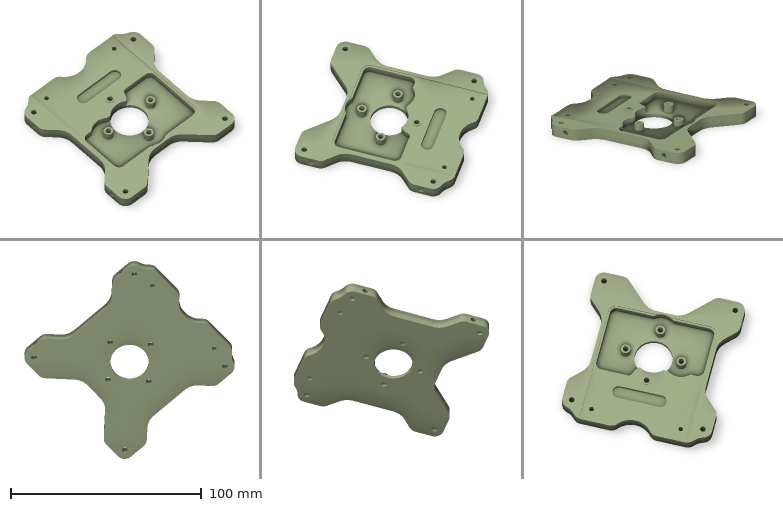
import cadquery as cq
import math

length = 85.4
half_width = 40.4
left_edge = half_width - length
thickness = 6.3

slope_start = 24.4
waist = 31.1
right_notch = 25.1
inner_fillet = 10.25
outer_fillet = 4.95
left_bite_radius = 11.4
left_bite_depth = 6.1
corner_bite_radius = 10.0
corner_bite_x = -49.7
corner_bite_y = 39.9

recess_depth = 0.4
recess_right = 23.1
recess_half_width = 29.1
recess_floor = thickness - recess_depth

pocket_lip = 1.0
pocket_floor = 2.0
pocket_radius = 3.4
pocket_left_back = -14.4
pocket_left_front = -6.15
neck_x = -6.9
land_radius = 2.0
island_radius = 8.5
screw_clearance_radius = 8.9

slot_x = -24.9
slot_y = 1.4
slot_width = 6.7
slot_length = 29.0
slot_depth = 1.5

bore_diameter = 20.0
standoff_distance = 15.0
standoff_diameter = 5.0
screw_diameter = 3.0

corner_hole = 35.4
corner_hole_diameter = 3.0
small_hole_x = -38.0
small_hole_y = 24.1
small_hole_diameter = 2.5
side_hole_x = 30.05
side_hole_diameter = 3.0
side_hole_depth = 10.0

selection_margin = 0.01
overshoot = 0.85


def cylinder(x, y, radius, bottom=0.0):
    """Upright cylinder from the given height to the top of the plate."""
    return cq.Workplane("XY", origin=(x, y, bottom)).circle(radius).extrude(thickness - bottom)


def prism(points, bottom=0.0):
    """Upright prism from the given height to the top of the plate."""
    return cq.Workplane("XY", origin=(0, 0, bottom)).polyline(points).close().extrude(thickness - bottom)


def block(x0, x1, y0, y1, bottom=0.0):
    return prism([(x0, y0), (x1, y0), (x1, y1), (x0, y1)], bottom)


def chord_half_length(radius, distance):
    """Half length of the chord at a distance from the centre of a circle."""
    return math.sqrt(radius**2 - distance**2)


def fillet_upright_edges(body, points, radius):
    """Round the upright edges that stand at the given XY points."""
    edges = []
    for x, y in points:
        low = (x - selection_margin, y - selection_margin, -overshoot)
        high = (x + selection_margin, y + selection_margin, thickness + overshoot)
        edges += body.edges("|Z").edges(cq.selectors.BoxSelector(low, high)).vals()
    return body.newObject(edges).fillet(radius)


def make_plate():
    waist_x = slope_start - (half_width - waist)
    notch_y = slope_start - (half_width - right_notch)
    bite_x = left_edge + left_bite_depth - left_bite_radius

    plate = block(left_edge, half_width, -half_width, half_width)
    plate = plate.cut(cylinder(bite_x, 0, left_bite_radius))
    plate = plate.cut(prism([
        (half_width, slope_start),
        (right_notch, notch_y),
        (right_notch, -notch_y),
        (half_width, -slope_start),
    ]))
    for side in (1, -1):
        plate = plate.cut(prism([
            (-slope_start, side * half_width),
            (-waist_x, side * waist),
            (waist_x, side * waist),
            (slope_start, side * half_width),
        ]))
        plate = plate.cut(cylinder(corner_bite_x, side * corner_bite_y, corner_bite_radius))

    bite_y = chord_half_length(left_bite_radius, left_edge - bite_x)
    corner_y = corner_bite_y - chord_half_length(corner_bite_radius, left_edge - corner_bite_x)
    corner_x = corner_bite_x + chord_half_length(corner_bite_radius, half_width - corner_bite_y)

    inner_corners = [(waist_x, waist), (-waist_x, waist), (right_notch, notch_y)]
    outer_corners = [
        (half_width, slope_start),
        (half_width, half_width),
        (slope_start, half_width),
        (-slope_start, half_width),
        (corner_x, half_width),
        (left_edge, corner_y),
        (left_edge, bite_y),
    ]
    for corners, radius in ((inner_corners, inner_fillet), (outer_corners, outer_fillet)):
        both_sides = corners + [(x, -y) for x, y in corners]
        plate = fillet_upright_edges(plate, both_sides, radius)
    return plate


def make_recess():
    recess = block(left_edge - overshoot, recess_right, -recess_half_width, recess_half_width, recess_floor)
    return recess.edges("|Z and >X").fillet(pocket_radius + pocket_lip)


def make_pocket():
    right = recess_right - pocket_lip
    half = recess_half_width - pocket_lip

    back = block(pocket_left_back, right, 0, half, pocket_floor)
    back = back.edges("|Z and >Y").fillet(pocket_radius)
    back = back.cut(cylinder(-standoff_distance, 0, island_radius, pocket_floor))
    island_y = chord_half_length(island_radius, pocket_left_back + standoff_distance)
    back = fillet_upright_edges(back, [(pocket_left_back, island_y)], land_radius)

    front = block(pocket_left_front, right, -half, 0, pocket_floor)
    front = front.edges("|Z and <Y").fillet(pocket_radius)
    front = front.union(cylinder(0, -standoff_distance, screw_clearance_radius, pocket_floor))
    front = front.union(block(neck_x, 0, -standoff_distance, 0, pocket_floor))
    neck_y = chord_half_length(screw_clearance_radius, neck_x) - standoff_distance
    front = fillet_upright_edges(front, [(neck_x, neck_y)], land_radius)

    bulge = cylinder(standoff_distance, 0, screw_clearance_radius, pocket_floor)
    return back.union(front).union(bulge)


def make_slot():
    slot = cq.Workplane("XY", origin=(slot_x, slot_y, recess_floor - slot_depth))
    return slot.slot2D(slot_length, slot_width, 90).extrude(slot_depth + overshoot)


def add_standoffs(body):
    """Screw standoffs on four sides of the bore, flush with the top of the plate."""
    for x, y in ((1, 0), (0, 1), (-1, 0), (0, -1)):
        place = (x * standoff_distance, y * standoff_distance)
        body = body.union(cylinder(*place, standoff_diameter / 2, pocket_floor))
        body = body.cut(cylinder(*place, screw_diameter / 2))
    return body


def side_hole(x, side):
    """Blind hole drilled into a Y face at mid thickness."""
    start = cq.Vector(x, side * half_width, thickness / 2)
    inward = cq.Vector(0, -side, 0)
    return cq.Workplane(cq.Solid.makeCylinder(side_hole_diameter / 2, side_hole_depth, start, inward))


def drill_holes(body):
    for side in (1, -1):
        body = body.cut(cylinder(small_hole_x, side * small_hole_y, small_hole_diameter / 2))
        for end in (1, -1):
            body = body.cut(cylinder(end * corner_hole, side * corner_hole, corner_hole_diameter / 2))
            body = body.cut(side_hole(end * side_hole_x, side))
    return body


result = make_plate().cut(make_recess()).cut(make_pocket()).cut(make_slot())
result = result.cut(cylinder(0, 0, bore_diameter / 2))
result = add_standoffs(result)
result = drill_holes(result)